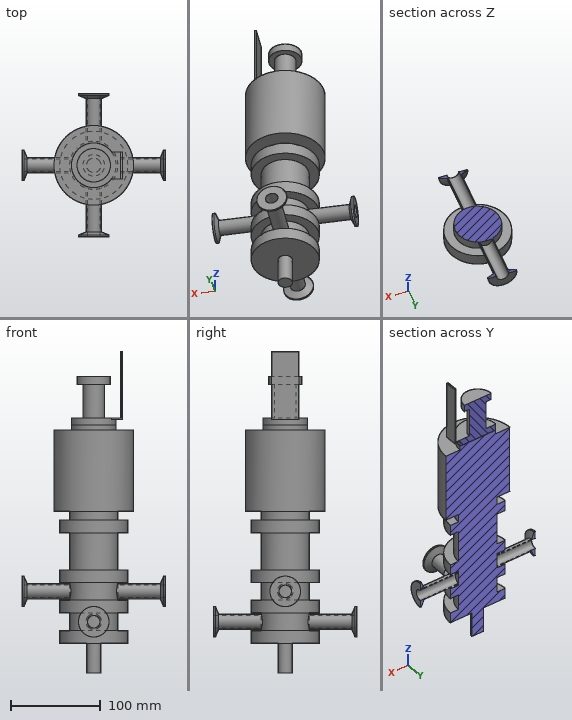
import cadquery as cq

drain_diameter = 16.0
column_diameter = 54.0
flange_diameter = 76.0
flange_thickness = 14.5
flange_bottoms = [33.0, 67.0, 101.0, 156.5]
column_bottom = flange_bottoms[0]

actuator_diameter = 89.0
actuator_bottom = 180.5
actuator_top = 271.5
collar_diameter = 50.0
neck_top = 277.0

port_reach = 80.0
pipe_diameter = 17.2
bore_diameter = 14.0
ferrule_diameter = 34.0
ferrule_rim = 2.0
ferrule_length = 5.7

collar_top = 285.0
stem_diameter = 24.0
knob_diameter = 37.5
knob_bottom = 322.0
knob_top = 331.5
plate_thickness = 2.0
plate_width = 30.0
plate_outer_x = 32.0
plate_top = 359.0


def disc(diameter, bottom, top):
    """Vertical cylinder centred on the column axis."""
    return cq.Workplane("XY").workplane(offset=bottom).circle(diameter / 2).extrude(top - bottom)


def place_port(shape, height, angle):
    """Turn a shape lying along +X about the column axis and lift it."""
    return shape.rotate((0, 0, 0), (0, 0, 1), angle).translate((0, 0, height))


def port_pipe():
    """Tube along +X, open at the end, that flares into a conical ferrule with a flat rim."""
    profile = [
        (0, bore_diameter / 2),
        (0, pipe_diameter / 2),
        (port_reach - ferrule_length, pipe_diameter / 2),
        (port_reach - ferrule_rim, ferrule_diameter / 2),
        (port_reach, ferrule_diameter / 2),
        (port_reach, bore_diameter / 2),
    ]
    return cq.Workplane("XY").polyline(profile).close().revolve(360, (0, 0, 0), (1, 0, 0))


def make_valve():
    """Column, flanges, drain stub, actuator and two crossed pairs of ports."""
    valve = disc(drain_diameter, 0, column_bottom)
    valve = valve.union(disc(column_diameter, column_bottom, actuator_bottom))
    valve = valve.union(disc(actuator_diameter, actuator_bottom, actuator_top))
    valve = valve.union(disc(collar_diameter, actuator_top, neck_top))
    for bottom in flange_bottoms:
        valve = valve.union(disc(flange_diameter, bottom, bottom + flange_thickness))

    lower, middle, upper = flange_bottoms[:3]
    y_port_height = (lower + flange_thickness + middle) / 2
    x_port_height = (middle + flange_thickness + upper) / 2
    ports = [(x_port_height, 0), (x_port_height, 180), (y_port_height, 90), (y_port_height, 270)]
    for height, angle in ports:
        valve = valve.union(place_port(port_pipe(), height, angle))
    return valve


def bent_plate():
    """L-shaped plate: a foot flush with the collar top and an upright leg."""
    foot_bottom = collar_top - plate_thickness
    inner_x = plate_outer_x - plate_thickness
    outline = [
        (0, foot_bottom),
        (plate_outer_x, foot_bottom),
        (plate_outer_x, plate_top),
        (inner_x, plate_top),
        (inner_x, collar_top),
        (0, collar_top),
    ]
    return cq.Workplane("XZ").polyline(outline).close().extrude(plate_width / 2, both=True)


def make_indicator():
    """Indicator that rests on the actuator neck."""
    indicator = disc(collar_diameter, neck_top, collar_top)
    indicator = indicator.union(disc(stem_diameter, collar_top, knob_bottom))
    indicator = indicator.union(disc(knob_diameter, knob_bottom, knob_top))
    return indicator.union(bent_plate())


valve = make_valve()
indicator = make_indicator()

result = cq.Compound.makeCompound([valve.val(), indicator.val()])